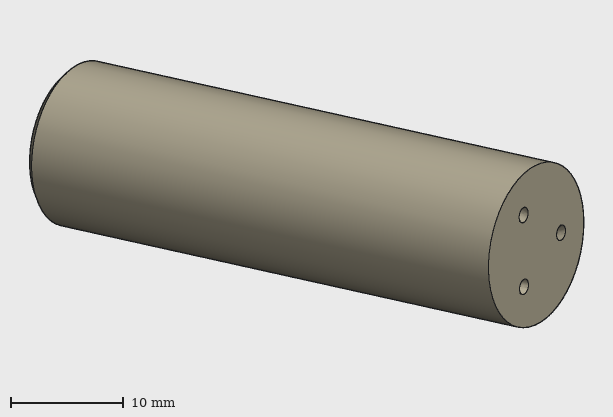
import cadquery as cq
import math

length = 50.0
diameter = 15.0
chamfer = 0.75

hole_count = 3
hole_diameter = 1.4
hole_circle_radius = 3.9
first_hole_angle = 20.0
helix_angle = 30.0
helix_pitch = math.pi * diameter / math.tan(math.radians(helix_angle))


def make_bar():
    bar = cq.Workplane("YZ").circle(diameter / 2).extrude(length)
    return bar.faces("<X").chamfer(chamfer)


def make_helical_hole(angle):
    """Twist a round end profile about the X axis over the whole bar length."""
    angle_rad = math.radians(angle)
    center_y = hole_circle_radius * math.cos(angle_rad)
    center_z = hole_circle_radius * math.sin(angle_rad)
    twist = 360.0 * length / helix_pitch
    profile = cq.Workplane("YZ").center(center_y, center_z).circle(hole_diameter / 2)
    wire = profile.ctx.pendingWires[0]
    solid = cq.Solid.extrudeLinearWithRotation(
        wire, [], cq.Vector(0, 0, 0), cq.Vector(length, 0, 0), twist
    )
    return cq.Workplane(obj=solid)


result = make_bar()
for index in range(hole_count):
    result = result.cut(make_helical_hole(first_hole_angle + index * 360.0 / hole_count))